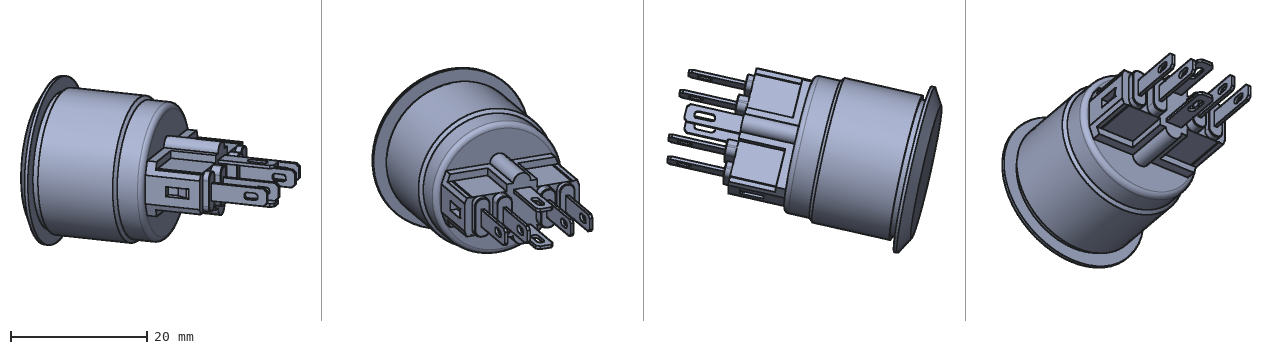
import cadquery as cq


flange_radius = 12.5
face_radius = 10.0
flange_bevel = 1.5
flange_back = 2.0
neck_radius = 10.3
neck_end = 3.0
body_radius = 10.9
rear_radius = 10.35
rear_chamfer = 0.5
rear_chamfer_start = 14.7
rear_chamfer_end = rear_chamfer_start + rear_chamfer
housing_end = 19.2
rear_fillet = 0.85

block_length = 8.5
block_end = housing_end + block_length
block_half_width = 9.2
block_half_height = 4.2
bevel_half_width = 8.45
bevel_half_height = 2.2
ridge_radius = 1.4

shelf_setback = 1.5
shelf_start = housing_end + shelf_setback
shelf_height = 3.05
shelf_inner_y = 2.45
groove_y = 8.0
groove_width = 0.1
groove_depth = 0.1

window_start = 22.4
window_end = 25.95
window_height = 1.5
window_depth = 1.1
ramp_start = 23.9
ramp_end = 25.45
ledge_depth = 0.3

collar_width = 2.4
collar_height = 6.1
collar_corner_radius = 1.075
collar_chamfer = 0.1
outer_terminal_y = 6.8
inner_terminal_y = 3.5
outer_collar_length = 1.05
inner_collar_length = 1.65

blade_width = 2.7
blade_thickness = 0.5
blade_chamfer = 0.5
slot_width = 1.1
side_slot_length = 2.15
side_slot_end_margin = 1.4
side_blade_length = 8.65
centre_slot_length = 3.1
centre_slot_end_margin = 1.35
centre_blade_length = 8.6
centre_blade_z = 2.95

embed = 0.5


def make_housing():
    """Flange, neck, body and rear section turned about the X axis."""
    profile = (
        cq.Workplane("XY")
        .lineTo(0, face_radius)
        .lineTo(flange_bevel, flange_radius)
        .lineTo(flange_back, flange_radius)
        .lineTo(flange_back, neck_radius)
        .lineTo(neck_end, neck_radius)
        .lineTo(neck_end, body_radius)
        .lineTo(rear_chamfer_start, body_radius)
        .lineTo(rear_chamfer_end, rear_radius)
        .lineTo(housing_end, rear_radius)
        .lineTo(housing_end, 0)
        .close()
    )
    housing = profile.revolve(360, (0, 0, 0), (1, 0, 0))
    return housing.faces(">X").edges().fillet(rear_fillet)


def box_between(x_range, y_range, z_range):
    """Box spanning the given (low, high) ranges."""
    spans = (x_range, y_range, z_range)
    sizes = [high - low for low, high in spans]
    corner = tuple(low for low, high in spans)
    return cq.Workplane("XY").box(*sizes, centered=False).translate(corner)


def mirrored(shape, plane):
    """The shape together with its mirror image across the plane."""
    return shape.union(shape.mirror(plane))


def shelf_cutter():
    """Step and thin groove removed from one corner of the block."""
    x_range = (shelf_start, block_end)
    step = box_between(x_range, (shelf_inner_y, block_half_width), (shelf_height, block_half_height))
    groove = box_between(
        x_range,
        (groove_y, groove_y + groove_width),
        (shelf_height - groove_depth, block_half_height),
    )
    return step.union(groove)


def window_cutter():
    """Latch window in the +Y side, its floor ramping up towards +X."""
    floor = block_half_width - window_depth
    ledge = block_half_width - ledge_depth
    return (
        cq.Workplane("XY")
        .moveTo(window_start, block_half_width)
        .lineTo(window_start, floor)
        .lineTo(ramp_start, floor)
        .lineTo(ramp_end, ledge)
        .lineTo(window_end, ledge)
        .lineTo(window_end, block_half_width)
        .close()
        .extrude(window_height / 2, both=True)
    )


def make_block():
    """Bevelled block with rounded ridges, corner shelves and latch windows."""
    length = block_length + embed
    section = cq.Workplane("YZ", origin=(housing_end - embed, 0, 0))
    right_corners = [
        (bevel_half_width, -block_half_height),
        (block_half_width, -bevel_half_height),
        (block_half_width, bevel_half_height),
        (bevel_half_width, block_half_height),
    ]
    left_corners = [(-y, -z) for y, z in right_corners]
    block = section.polyline(right_corners + left_corners).close().extrude(length)
    ridges = section.pushPoints([(0, block_half_height), (0, -block_half_height)]).circle(ridge_radius)
    block = block.union(ridges.extrude(length))
    block = block.cut(mirrored(mirrored(shelf_cutter(), "XZ"), "XY"))
    return block.cut(mirrored(window_cutter(), "XZ"))


def make_blade(start, end, slot_length, slot_end_margin):
    """Flat blade along X, lying in the XY plane, with a clipped tip and a solder slot."""
    blade = box_between(
        (start - embed, end),
        (-blade_width / 2, blade_width / 2),
        (-blade_thickness / 2, blade_thickness / 2),
    )
    blade = blade.faces(">X").edges("|Z").chamfer(blade_chamfer)
    slot = (
        cq.Workplane("XY", origin=(end - slot_end_margin - slot_length / 2, 0, 0))
        .slot2D(slot_length, slot_width)
        .extrude(blade_thickness, both=True)
    )
    return blade.cut(slot)


def make_side_terminal(y, collar_length):
    """Upright blade standing on a rounded collar."""
    collar_end = block_end + collar_length
    collar = (
        cq.Workplane("YZ", origin=(block_end - embed, 0, 0))
        .rect(collar_width, collar_height)
        .extrude(embed + collar_length)
        .edges("|X")
        .fillet(collar_corner_radius)
        .faces(">X")
        .chamfer(collar_chamfer)
    )
    blade = make_blade(collar_end, collar_end + side_blade_length, side_slot_length, side_slot_end_margin)
    upright_blade = blade.rotate((0, 0, 0), (1, 0, 0), 90)
    return collar.union(upright_blade).translate((0, y, 0))


result = make_housing().union(make_block())
centre_blade = make_blade(
    block_end,
    block_end + centre_blade_length,
    centre_slot_length,
    centre_slot_end_margin,
)
for side in (1, -1):
    result = result.union(make_side_terminal(side * outer_terminal_y, outer_collar_length))
    result = result.union(make_side_terminal(side * inner_terminal_y, inner_collar_length))
    result = result.union(centre_blade.translate((0, 0, side * centre_blade_z)))